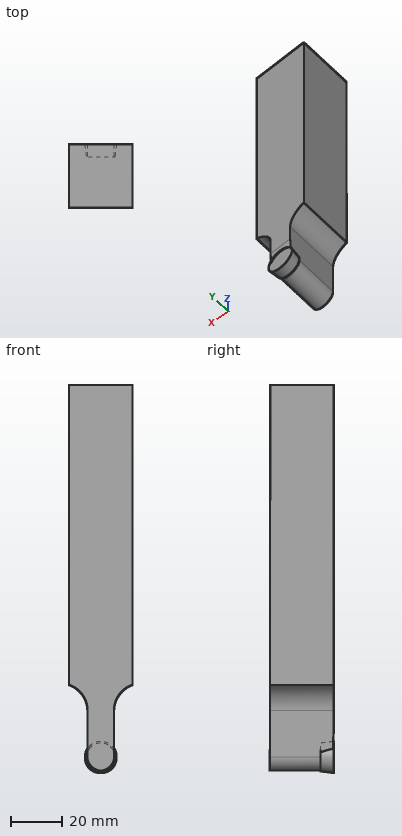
import cadquery as cq
import math

SHANK_WIDTH = 24.8
SHANK_DEPTH = 25.0
TOTAL_HEIGHT = 151.3
SHANK_BOTTOM = 34.4
NECK_WIDTH = 10.5
NECK_TOP = 24.4
REAR_FACE = SHANK_DEPTH / 2
FRONT_FACE = -REAR_FACE
FRONT_SETBACK = SHANK_DEPTH - SHANK_WIDTH

INSERT_RADIUS = 6.2
INSERT_THICKNESS = 5.1
CLEARANCE_ANGLE = 7.0
INSERT_BACK_RADIUS = INSERT_RADIUS - INSERT_THICKNESS * math.tan(math.radians(CLEARANCE_ANGLE))
INSERT_CENTER_Z = INSERT_RADIUS

RAMP_TOP = 15.6
RAMP_DEPTH = 0.6

SHOULDER_RUN = (SHANK_WIDTH - NECK_WIDTH) / 2
SHOULDER_RISE = SHANK_BOTTOM - NECK_TOP
SHOULDER_RADIUS = (SHOULDER_RUN**2 + SHOULDER_RISE**2) / (2 * SHOULDER_RUN)


def shoulder_midpoint(side):
    """Point halfway along the concave shoulder; side is -1 or +1."""
    half_angle = math.asin(SHOULDER_RISE / SHOULDER_RADIUS) / 2
    x = NECK_WIDTH / 2 + SHOULDER_RADIUS * (1 - math.cos(half_angle))
    return side * x, NECK_TOP + SHOULDER_RADIUS * math.sin(half_angle)


def make_insert():
    """Truncated cone with its large face flush with the holder's rear face."""
    return (
        cq.Workplane("XZ", origin=(0, REAR_FACE, INSERT_CENTER_Z))
        .circle(INSERT_RADIUS)
        .workplane(offset=INSERT_THICKNESS)
        .circle(INSERT_BACK_RADIUS)
        .loft(ruled=True)
    )


def make_blank():
    """Square shank, concave shoulders and round-ended neck in one profile."""
    half_shank = SHANK_WIDTH / 2
    half_neck = NECK_WIDTH / 2
    return (
        cq.Workplane("XZ", origin=(0, REAR_FACE, 0))
        .moveTo(-half_shank, TOTAL_HEIGHT)
        .lineTo(half_shank, TOTAL_HEIGHT)
        .lineTo(half_shank, SHANK_BOTTOM)
        .threePointArc(shoulder_midpoint(1), (half_neck, NECK_TOP))
        .lineTo(half_neck, INSERT_CENTER_Z)
        .threePointArc((0, INSERT_CENTER_Z - half_neck), (-half_neck, INSERT_CENTER_Z))
        .lineTo(-half_neck, NECK_TOP)
        .threePointArc(shoulder_midpoint(-1), (-half_shank, SHANK_BOTTOM))
        .close()
        .extrude(SHANK_DEPTH)
    )


def make_ramp():
    """Wedge removed from the neck's rear face just above the insert."""
    return (
        cq.Workplane("YZ")
        .moveTo(REAR_FACE, RAMP_TOP)
        .lineTo(REAR_FACE - RAMP_DEPTH, INSERT_CENTER_Z)
        .lineTo(REAR_FACE, INSERT_CENTER_Z)
        .close()
        .extrude(NECK_WIDTH / 2, both=True)
    )


def make_front_taper():
    """Thin wedge removed so that the shank is square at its top end."""
    return (
        cq.Workplane("YZ")
        .moveTo(FRONT_FACE, 0)
        .lineTo(FRONT_FACE + FRONT_SETBACK, TOTAL_HEIGHT)
        .lineTo(FRONT_FACE, TOTAL_HEIGHT)
        .close()
        .extrude(SHANK_WIDTH / 2, both=True)
    )


def make_holder(insert):
    """Tool holder with a leaning front face, the ramp and a seat that matches the insert."""
    return make_blank().cut(make_front_taper()).cut(make_ramp()).cut(insert)


insert = make_insert()
holder = make_holder(insert)

result = cq.Compound.makeCompound([holder.val(), insert.val()])